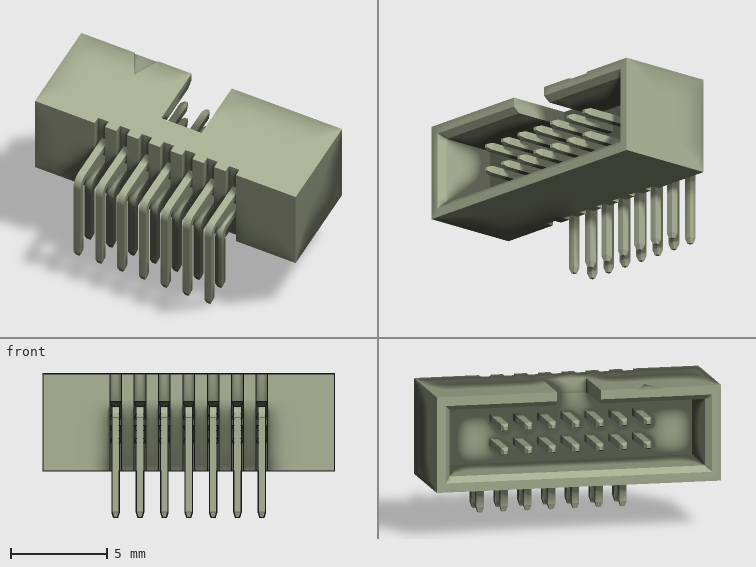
import cadquery as cq


length = 15.19
depth = 5.4
height = 5.07
wall = 0.77
cavity_depth = 3.42
lead_in_depth = 0.36
lead_in_width = 0.29

key_width = 2.34
key_depth = 3.52

mark_width = 1.41
mark_length = 1.41
mark_recess = 0.08
mark_floor_scale = 0.95

columns = 7
pitch = 1.27
pin = 0.4
bend_inner = pin / 2
bend_outer = bend_inner + pin
leg_tip_width = 0.21
mating_tip_width = 0.18
leg_tip = 0.29
mating_tip = 0.32
leg_reach = 2.43
mating_recess = 0.41
rear_overhang = 2.67

groove_width = 0.61
groove_depth = 0.41
entry_height = 0.91
entry_depth = 0.41

column_xs = [(i - (columns - 1) / 2) * pitch for i in range(columns)]
upper_z = (height + pitch) / 2
lower_z = (height - pitch) / 2
upper_leg_y = -rear_overhang + pin / 2
lower_leg_y = upper_leg_y + pitch
mating_end_y = depth - mating_recess


def box(x_size, y_from, y_to, z_from, z_to):
    """Box centred on x = 0."""
    size = (x_size, y_to - y_from, z_to - z_from)
    return cq.Workplane("XY").box(*size, centered=(True, False, False)).translate((0, y_from, z_from))


def taper_along_y(start_size, end_size, y_start, y_end, z):
    """Tapered block between two (width, height) rectangles normal to Y."""
    return (
        cq.Workplane("XZ", origin=(0, y_start, z))
        .rect(*start_size)
        .workplane(offset=y_start - y_end)
        .rect(*end_size)
        .loft(ruled=True)
    )


def cavity():
    opening = (length - 2 * wall, height - 2 * wall)
    mouth = (opening[0] + 2 * lead_in_width, opening[1] + 2 * lead_in_width)
    pocket = box(opening[0], depth - cavity_depth, depth, wall, height - wall)
    lead_in = taper_along_y(opening, mouth, depth - lead_in_depth, depth, height / 2)
    return pocket.union(lead_in)


def pin_one_mark():
    """Shallow triangle with sloped sides, open on the mating face above the first column."""

    def triangle(scale):
        half_width = scale * mark_width / 2
        return [(-half_width, 0), (half_width, 0), (0, -scale * mark_length)]

    return (
        cq.Workplane("XY", origin=(column_xs[0], depth, height))
        .polyline(triangle(1))
        .close()
        .workplane(offset=-mark_recess)
        .polyline(triangle(mark_floor_scale))
        .close()
        .loft(ruled=True)
    )


def rear_groove():
    groove = box(groove_width, 0, groove_depth, 0, height)
    for z in (lower_z, upper_z):
        entry = taper_along_y(
            (groove_width, entry_height), (pin, pin), groove_depth, groove_depth + entry_depth, z
        )
        groove = groove.union(entry)
    return groove


def bent_pin(row_z, leg_y):
    """Square pin running along Y at row_z, bent down into a leg centred on leg_y."""
    top = row_z + pin / 2
    underside = row_z - pin / 2
    rear = leg_y - pin / 2
    front = leg_y + pin / 2
    bend_y = rear + bend_outer
    bend_z = top - bend_outer
    leg_shoulder_z = -leg_reach + leg_tip
    mating_shoulder_y = mating_end_y - mating_tip
    shank = (
        cq.Workplane("YZ", origin=(-pin / 2, 0, 0))
        .moveTo(mating_shoulder_y, top)
        .lineTo(bend_y, top)
        .radiusArc((rear, bend_z), -bend_outer)
        .lineTo(rear, leg_shoulder_z)
        .lineTo(front, leg_shoulder_z)
        .lineTo(front, bend_z)
        .radiusArc((bend_y, underside), bend_inner)
        .lineTo(mating_shoulder_y, underside)
        .close()
        .extrude(pin)
    )
    leg_end = (
        cq.Workplane("XY", origin=(0, leg_y, leg_shoulder_z))
        .rect(pin, pin)
        .workplane(offset=-leg_tip)
        .rect(leg_tip_width, leg_tip_width)
        .loft(ruled=True)
    )
    mating_end = taper_along_y(
        (pin, pin), (mating_tip_width, mating_tip_width), mating_shoulder_y, mating_end_y, row_z
    )
    return shank.union(leg_end).union(mating_end)


housing = box(length, 0, depth, 0, height)
housing = housing.cut(cavity())
housing = housing.cut(box(key_width, depth - key_depth, depth, height - wall, height))
housing = housing.cut(pin_one_mark())

groove = rear_groove()
upper_pin = bent_pin(upper_z, upper_leg_y)
lower_pin = bent_pin(lower_z, lower_leg_y)

result = housing
for x in column_xs:
    result = result.cut(groove.translate((x, 0, 0)))
for x in column_xs:
    result = result.union(upper_pin.translate((x, 0, 0)))
    result = result.union(lower_pin.translate((x, 0, 0)))